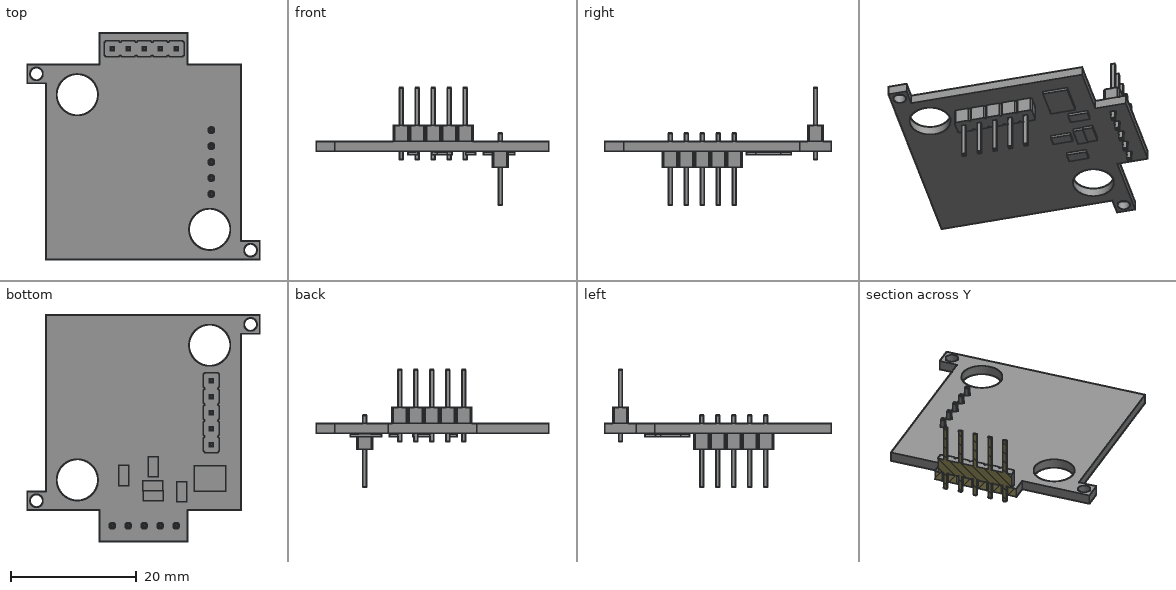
import cadquery as cq

OVERALL_X = 37.0
LUG = 3.0
SQUARE = OVERALL_X - 2 * LUG
HALF = SQUARE / 2
BOARD_THICKNESS = 1.6
TAB_WIDTH = 14.0
TAB_LENGTH = 5.0
LUG_HOLE_DIAMETER = 2.0
LARGE_HOLE_DIAMETER = 6.5
LARGE_HOLE_SIDE_INSET = 5.0
LARGE_HOLE_END_INSET = 4.8
PIN_HOLE_DIAMETER = 1.0

PIN_COUNT = 5
ROW_LENGTH = 12.7
PITCH = ROW_LENGTH / PIN_COUNT
CELL_CHAMFER = 0.25
PIN_SIDE = 0.63
PIN_TIP_CHAMFER = 0.15
OVERALL_Z = 18.8
PIN_REACH = (OVERALL_Z - BOARD_THICKNESS) / 2
PIN_TAIL = 1.37
TAB_HEADER_OFFSET = 0.1
TAB_HEADER_INSET = 2.5
TAB_HEADER_CENTER = (TAB_HEADER_OFFSET, HALF + TAB_LENGTH - TAB_HEADER_INSET)
SIDE_HEADER_INSET = 4.75
SIDE_HEADER_CENTER = (HALF - SIDE_HEADER_INSET, 0)

COMPONENT_HEIGHT = 0.48
COMPONENT_GAP = 0.07
CHIP_LENGTH = 3.2
CHIP_WIDTH = 1.6
LENGTHWISE_CHIP_CENTERS = [(-3.1, 10.0), (1.55, 8.6), (6.05, 12.58)]
CROSSWISE_CHIP_CENTERS = [(1.45, 11.6), (1.55, 13.25)]
CIRCUIT_SIZE_X = 5.05
CIRCUIT_SIZE_Y = 4.0
CIRCUIT_CENTER = (10.6, 10.47)


def make_pin_offsets():
    """Distances of the pins from the middle of their row."""
    return [(i - (PIN_COUNT - 1) / 2) * PITCH for i in range(PIN_COUNT)]


def make_board():
    outline = [
        (-HALF, -HALF),
        (HALF + LUG, -HALF),
        (HALF + LUG, -HALF + LUG),
        (HALF, -HALF + LUG),
        (HALF, HALF),
        (TAB_WIDTH / 2, HALF),
        (TAB_WIDTH / 2, HALF + TAB_LENGTH),
        (-TAB_WIDTH / 2, HALF + TAB_LENGTH),
        (-TAB_WIDTH / 2, HALF),
        (-HALF - LUG, HALF),
        (-HALF - LUG, HALF - LUG),
        (-HALF, HALF - LUG),
    ]
    lug_hole_x = HALF + LUG / 2
    lug_hole_y = HALF - LUG / 2
    large_hole_x = HALF - LARGE_HOLE_SIDE_INSET
    large_hole_y = HALF - LARGE_HOLE_END_INSET
    tab_x, tab_y = TAB_HEADER_CENTER
    side_x, side_y = SIDE_HEADER_CENTER
    tab_pin_points = [(tab_x + offset, tab_y) for offset in make_pin_offsets()]
    side_pin_points = [(side_x, side_y + offset) for offset in make_pin_offsets()]

    board = cq.Workplane("XY").polyline(outline).close().extrude(BOARD_THICKNESS)
    hole_groups = [
        (LUG_HOLE_DIAMETER, [(-lug_hole_x, lug_hole_y), (lug_hole_x, -lug_hole_y)]),
        (LARGE_HOLE_DIAMETER, [(-large_hole_x, large_hole_y), (large_hole_x, -large_hole_y)]),
        (PIN_HOLE_DIAMETER, tab_pin_points + side_pin_points),
    ]
    for diameter, points in hole_groups:
        holes = cq.Workplane("XY").pushPoints(points).circle(diameter / 2).extrude(BOARD_THICKNESS)
        board = board.cut(holes)
    return board


def make_header():
    """Header along X with its plastic resting on z = 0 and its long pin ends pointing up."""
    pin_length = PIN_REACH + BOARD_THICKNESS + PIN_TAIL
    pin_bottom = -BOARD_THICKNESS - PIN_TAIL
    cell = cq.Workplane("XY").box(PITCH, PITCH, PITCH, centered=(True, True, False))
    cell = cell.edges("|Z").chamfer(CELL_CHAMFER)
    pin = cq.Workplane("XY").workplane(offset=pin_bottom)
    pin = pin.box(PIN_SIDE, PIN_SIDE, pin_length, centered=(True, True, False))
    pin = pin.faces("<Z or >Z").chamfer(PIN_TIP_CHAMFER)
    cell_with_pin = cell.union(pin)

    header = cq.Workplane("XY")
    for offset in make_pin_offsets():
        header = header.union(cell_with_pin.translate((offset, 0, 0)))
    return header


def make_tab_header():
    """Header on top of the tab."""
    x, y = TAB_HEADER_CENTER
    return make_header().translate((x, y, BOARD_THICKNESS))


def make_side_header():
    """Header hanging under the board, turned to run along Y."""
    x, y = SIDE_HEADER_CENTER
    upside_down = make_header().rotate((0, 0, 0), (1, 0, 0), 180)
    return upside_down.rotate((0, 0, 0), (0, 0, 1), 90).translate((x, y, 0))


def make_component(center, size_x, size_y):
    """Flat block just below the underside of the board."""
    bottom = -COMPONENT_GAP - COMPONENT_HEIGHT
    block = cq.Workplane("XY").box(size_x, size_y, COMPONENT_HEIGHT, centered=(True, True, False))
    return block.translate((*center, bottom))


board = make_board()
tab_header = make_tab_header()
side_header = make_side_header()
lengthwise_chips = [make_component(center, CHIP_WIDTH, CHIP_LENGTH) for center in LENGTHWISE_CHIP_CENTERS]
crosswise_chips = [make_component(center, CHIP_LENGTH, CHIP_WIDTH) for center in CROSSWISE_CHIP_CENTERS]
integrated_circuit = make_component(CIRCUIT_CENTER, CIRCUIT_SIZE_X, CIRCUIT_SIZE_Y)

result = cq.Compound.makeCompound(
    [
        board.val(),
        tab_header.val(),
        side_header.val(),
        *[chip.val() for chip in lengthwise_chips + crosswise_chips],
        integrated_circuit.val(),
    ]
)